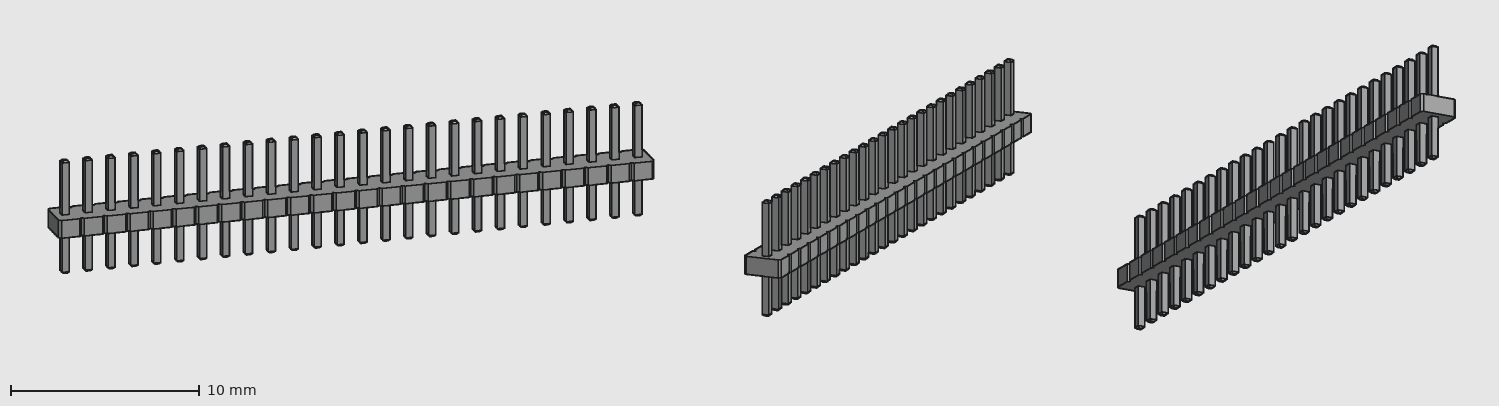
import cadquery as cq

pin_count = 26
row_length = 33.02
pitch = row_length / pin_count

body_width = 2.1
body_height = 1.0
block_chamfer = 0.13

pin_size = 0.4
pin_above = 3.0
pin_below = 2.3
tip_chamfer = 0.1

pin_length = pin_below + body_height + pin_above
pin_positions = [(0, (i - (pin_count - 1) / 2) * pitch) for i in range(pin_count)]


def make_body():
    """Row of touching blocks whose chamfered corners leave V notches between pins."""
    bar = cq.Workplane("XY").box(body_width, row_length, body_height, centered=(True, True, False))
    bar = bar.edges("|Z").chamfer(block_chamfer)

    notch_span = 2 * block_chamfer
    boundary_positions = [
        (side * body_width / 2, (i - pin_count / 2) * pitch)
        for i in range(1, pin_count)
        for side in (-1, 1)
    ]
    notches = (
        cq.Workplane("XY")
        .pushPoints(boundary_positions)
        .polygon(4, notch_span)
        .extrude(body_height)
    )
    return bar.cut(notches)


def make_pins():
    """Square pins running through the body, chamfered at both tips."""
    pin = (
        cq.Workplane("XY", origin=(0, 0, -pin_below))
        .box(pin_size, pin_size, pin_length, centered=(True, True, False))
        .faces("<Z or >Z")
        .chamfer(tip_chamfer)
    )
    return cq.Workplane("XY").pushPoints(pin_positions).eachpoint(pin.val())


result = make_body().union(make_pins())